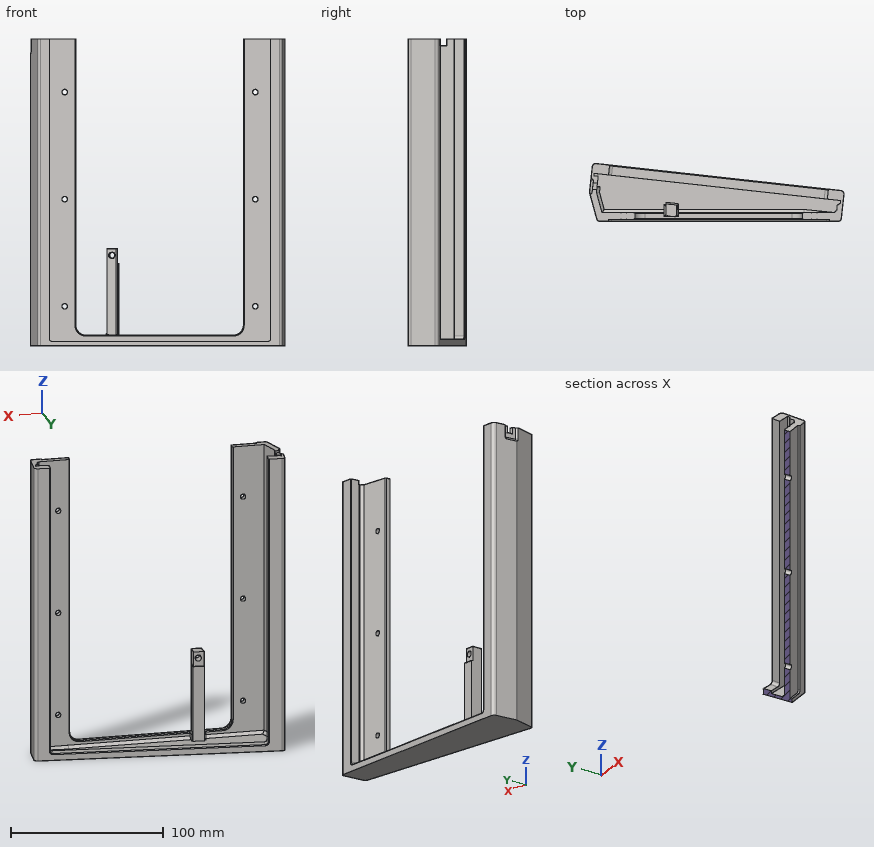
import cadquery as cq
import math

WIDTH = 166.8
DEPTH = 38.0
HEIGHT = 201.0

BACK_SLOPE = 6.3
FRONT_LEFT = 5.2
KINK_Y = 19.0
FRONT_FILLET = 2.0
KINK_FILLET = 2.5
BACK_FILLET = 2.5

SLOPE = math.tan(math.radians(BACK_SLOPE))
SLOPE_COS = math.cos(math.radians(BACK_SLOPE))
SLOPE_SIN = math.sin(math.radians(BACK_SLOPE))
CORNER_OVERRUN = BACK_FILLET * (SLOPE_SIN + SLOPE_COS - 1)
BACK_LEFT_Y = DEPTH + CORNER_OVERRUN
BACK_LEFT_X = SLOPE * (BACK_LEFT_Y - KINK_Y)
BACK_RIGHT_X = WIDTH + CORNER_OVERRUN

FRONT_WALL = 5.8
BACK_LIP = 6.6
SLOT = 1.6
SLOT_LEFT = 3.0
SLOT_RIGHT = 164.5
LEFT_WALL = 4.6
RIGHT_INNER = 162.2
RIGHT_CORNER = 1.8
FLOOR = 2.6
FLOOR_CHAMFER = 2.0
CHAMFER_RUNOUT = 140.7
CHAMFER_END_Y = 22.7
CHAMFER_END_STEP = 0.2

RIM_Z = 7.0
LIP_RAIL = 2.0
OPENING_LEFT = 29.7
OPENING_RIGHT = 139.5
OPENING_RADIUS = 6.6
WINDOW_LEFT = 13.3
WINDOW_RIGHT = 156.5
WINDOW_RADIUS = 2.0
EDGE_CHAMFER = 0.6
FLARE_ANGLE = 45

RECESS_LEFT = 12.5
RECESS_RIGHT = 157.4
RECESS_Z = 2.8
RECESS_DEPTH = 1.5
RECESS_RADIUS = 2.0

HOLE_DIAMETER = 3.5
HOLE_COLUMNS = (22.5, 147.3)
FIRST_HOLE_Z = 26.0
HOLE_PITCH = 70.1
HOLE_ROWS = 3

POCKET_Y = (16.9, 29.0)
POCKET_Z = 191.4
POCKET_FLOOR_X = 2.2
POCKET_CORNER = 2.0
POCKET_BEVEL = 1.8
NOTCH_Y = (21.0, 25.1)
NOTCH_DEPTH = 4.5

POST_X = 53.7
POST_Y = 7.2
POST_WIDTH = 7.0
POST_DEPTH = 7.8
POST_TOP = 63.7
POST_SHOULDER = 53.9
POST_SIDE_PAD = 0.8
POST_BACK_PAD = 1.0
POST_BEVEL = 1.2
POST_FOOT = 1.2
POST_HOLE_DIAMETER = 4.0
POST_HOLE_Z = 59.3


def back_y(x):
    """Y of the sloping back face before its corners are rounded."""
    return BACK_LEFT_Y - SLOPE * (x - BACK_LEFT_X)


def lip_y(x):
    """Y of the underside of the back lip."""
    return back_y(x) - BACK_LIP


def side_x(x_at_back, y):
    """X of a line square to the back face that meets it at x_at_back."""
    return x_at_back - SLOPE * (back_y(x_at_back) - y)


def box(x_range, y_range, z_range):
    size = [high - low for low, high in (x_range, y_range, z_range)]
    corner = (x_range[0], y_range[0], z_range[0])
    return cq.Workplane("XY").box(*size, centered=False).translate(corner)


def outer_body():
    outline = [
        (FRONT_LEFT, 0),
        (side_x(BACK_RIGHT_X, 0), 0),
        (BACK_RIGHT_X, back_y(BACK_RIGHT_X)),
        (BACK_LEFT_X, BACK_LEFT_Y),
        (0, KINK_Y),
    ]
    body = cq.Workplane("XY").polyline(outline).close().extrude(HEIGHT)
    body = body.faces("<Y").edges("|Z").fillet(FRONT_FILLET)
    body = body.edges("<X").fillet(KINK_FILLET)
    back_normal = cq.Vector(SLOPE_SIN, SLOPE_COS, 0)
    back_face = body.faces(cq.selectors.DirectionMinMaxSelector(back_normal))
    return back_face.edges("|Z").fillet(BACK_FILLET)


def cavity():
    """Space between the walls, above the floor, with the panel slot under the lip."""
    left_lean = FRONT_LEFT / KINK_Y
    front_left_x = FRONT_LEFT + LEFT_WALL - left_lean * FRONT_WALL
    slot_left_y = lip_y(SLOT_LEFT) - SLOT
    slot_right_y = lip_y(SLOT_RIGHT) - SLOT
    right_inner_y = slot_right_y - SLOT
    upper_left_x = LEFT_WALL + SLOPE * (slot_left_y - KINK_Y)
    front_left = (front_left_x, FRONT_WALL)
    runout = (CHAMFER_RUNOUT, FRONT_WALL)
    left_kink = (LEFT_WALL, KINK_Y)
    stop_x = LEFT_WALL + SLOPE * (CHAMFER_END_Y - KINK_Y)
    chamfer_stop = (stop_x, CHAMFER_END_Y)
    chamfer_end = (stop_x + SLOPE * CHAMFER_END_STEP, CHAMFER_END_Y + CHAMFER_END_STEP)
    far_walls = [
        (RIGHT_INNER - RIGHT_CORNER, FRONT_WALL),
        (RIGHT_INNER, FRONT_WALL + RIGHT_CORNER),
        (RIGHT_INNER, right_inner_y),
        (SLOT_RIGHT, slot_right_y),
        (SLOT_RIGHT, lip_y(SLOT_RIGHT)),
        (SLOT_LEFT, lip_y(SLOT_LEFT)),
        (SLOT_LEFT, slot_left_y),
        (upper_left_x, slot_left_y),
    ]
    wall_outline = [front_left, runout] + far_walls + [chamfer_end, chamfer_stop, left_kink]
    inset_front_y = FRONT_WALL + FLOOR_CHAMFER
    floor_outline = [
        (front_left_x + FLOOR_CHAMFER - left_lean * FLOOR_CHAMFER, inset_front_y),
        (CHAMFER_RUNOUT, inset_front_y),
    ] + far_walls + [
        chamfer_end,
        (stop_x + FLOOR_CHAMFER, CHAMFER_END_Y),
        (LEFT_WALL + FLOOR_CHAMFER, KINK_Y),
    ]
    upper = cq.Workplane("XY").workplane(offset=FLOOR + FLOOR_CHAMFER)
    upper = upper.polyline(wall_outline).close().extrude(HEIGHT)
    lower = (
        cq.Workplane("XY").workplane(offset=FLOOR).polyline(floor_outline).close()
        .workplane(offset=FLOOR_CHAMFER).polyline(wall_outline).close()
        .loft(ruled=True)
    )
    return upper.union(lower)


def u_cutter(left, right, bottom, radius, depth, flare=0.0):
    """U-shaped cutter, open past the top, running from Y = 0 toward -Y and flared at Y = 0."""

    def outline(margin):
        low = bottom - margin
        high = HEIGHT + radius
        sketch = cq.Sketch().rect(right - left + 2 * margin, high - low)
        sketch = sketch.vertices("<Y").fillet(radius + margin)
        sketch = sketch.moved(cq.Location(cq.Vector((left + right) / 2, (low + high) / 2, 0)))
        return cq.Workplane("XZ").placeSketch(sketch)

    cutter = outline(0).extrude(depth)
    if flare:
        cutter = cutter.union(outline(flare).extrude(flare, taper=FLARE_ANGLE))
    return cutter


def front_recess():
    cutter = u_cutter(RECESS_LEFT, RECESS_RIGHT, RECESS_Z, RECESS_RADIUS, RECESS_DEPTH)
    return cutter.mirror("XZ")


def front_opening():
    """Cutter through the front wall, flared at both faces of the wall."""
    depth = FRONT_WALL - RECESS_DEPTH
    cutter = u_cutter(OPENING_LEFT, OPENING_RIGHT, RIM_Z, OPENING_RADIUS, depth, EDGE_CHAMFER)
    cutter = cutter.union(cutter.mirror("XZ").translate((0, -depth, 0)))
    return cutter.translate((0, FRONT_WALL, 0))


def back_window():
    """Cutter through the lip, square to the sloping back face."""
    left = WINDOW_LEFT / SLOPE_COS
    right = WINDOW_RIGHT / SLOPE_COS
    cutter = u_cutter(left, right, FLOOR + LIP_RAIL, WINDOW_RADIUS, BACK_LIP + SLOT, EDGE_CHAMFER)
    return cutter.rotate((0, 0, 0), (0, 0, 1), -BACK_SLOPE).translate((0, back_y(0), 0))


def y_hole(diameter, x, z, depth):
    """Round cutter along +Y, starting at Y = 0."""
    return cq.Workplane("XZ").center(x, z).circle(diameter / 2).extrude(-depth)


def screw_holes():
    holes = cq.Workplane("XY")
    for x in HOLE_COLUMNS:
        for row in range(HOLE_ROWS):
            z = FIRST_HOLE_Z + row * HOLE_PITCH
            holes = holes.union(y_hole(HOLE_DIAMETER, x, z, FRONT_WALL + FLOOR_CHAMFER))
    return holes


def wall_pocket():
    """Pocket in the outside of the left wall, with its floor parallel to the upper wall."""
    pocket = box((-WIDTH, POCKET_FLOOR_X), POCKET_Y, (POCKET_Z, 2 * HEIGHT - POCKET_Z))
    pocket = pocket.edges("|X").fillet(POCKET_CORNER)
    pocket = pocket.faces(">X").chamfer(POCKET_BEVEL)
    pivot_y = sum(POCKET_Y) / 2
    return pocket.rotate((0, pivot_y, 0), (0, pivot_y, 1), -BACK_SLOPE)


def wall_notch():
    return box((-LEFT_WALL, 2 * LEFT_WALL), NOTCH_Y, (HEIGHT - NOTCH_DEPTH, HEIGHT))


def post_outline(side_pad, back_pad):
    """Section with its front and back parallel to the back slope and one bevelled corner."""
    half_width = POST_WIDTH / 2
    front = -POST_DEPTH / 2
    back = POST_DEPTH / 2 + back_pad
    back_right = half_width + side_pad
    bevel_x = half_width - POST_BEVEL
    return [
        (-half_width, front + SLOPE * half_width),
        (bevel_x, front - SLOPE * bevel_x),
        (half_width, front - SLOPE * half_width + POST_BEVEL),
        (back_right, back - SLOPE * back_right),
        (-half_width, back + SLOPE * half_width),
    ]


def post():
    """Post with a thicker lower part and a flared foot, built about the Z axis and then placed."""
    base = cq.Workplane("XY").workplane(offset=FLOOR)
    upper = base.polyline(post_outline(0, 0)).close().extrude(POST_TOP - FLOOR)
    lower = base.polyline(post_outline(POST_SIDE_PAD, POST_BACK_PAD)).close()
    lower = lower.extrude(POST_SHOULDER - FLOOR)
    foot_width = POST_WIDTH + 2 * POST_FOOT
    foot = base.rect(foot_width, POST_DEPTH).extrude(RIM_Z - FLOOR)
    foot = foot.faces(">Z").workplane().rect(foot_width, POST_DEPTH)
    foot = foot.extrude(POST_FOOT, taper=FLARE_ANGLE)
    hole = y_hole(POST_HOLE_DIAMETER, 0, POST_HOLE_Z, 2 * POST_DEPTH).translate((0, -POST_DEPTH, 0))
    hole = hole.rotate((0, 0, 0), (0, 0, 1), -BACK_SLOPE)
    body = upper.union(lower).union(foot).cut(hole)
    return body.translate((POST_X, POST_Y, 0))


frame = outer_body().cut(cavity())
frame = frame.cut(front_recess()).cut(front_opening()).cut(back_window())
frame = frame.cut(screw_holes()).cut(wall_pocket()).cut(wall_notch())
result = frame.union(post())